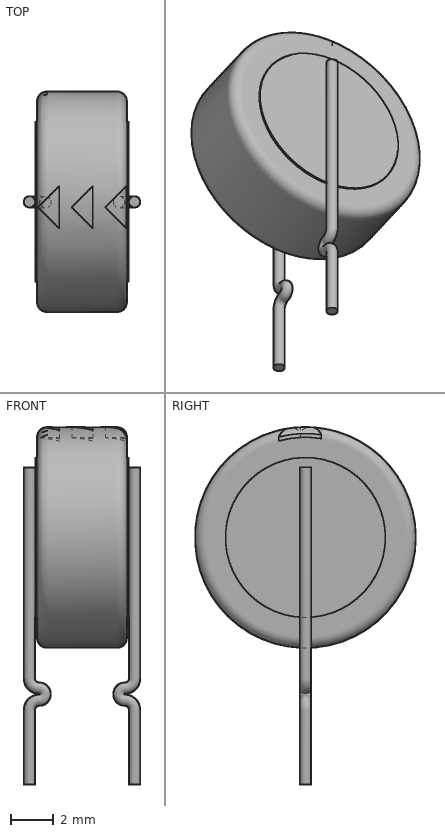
import cadquery as cq

body_diameter = 10.5
body_width = 4.28
body_edge_radius = 0.5
body_radius = body_diameter / 2

electrode_diameter = 7.6
electrode_thickness = 0.08
electrode_inner_x = body_width / 2
electrode_outer_x = electrode_inner_x + electrode_thickness

wire_diameter = 0.55
wire_radius = wire_diameter / 2
overall_height = 17.0
lead_x = electrode_outer_x + wire_radius
lead_top_z = 3.33
lead_bottom_z = body_radius - overall_height
kink_top_z = -6.7
kink_outer_radius = 0.46
kink_return_radius = 0.29

mark_count = 3
mark_length = 1.0
mark_width = 2.0
mark_pitch = 1.6
mark_middle_base_x = 0.51
mark_center_y = -0.25
mark_floor_radius = body_radius - body_edge_radius


def x_cylinder(diameter, start_x, length):
    """Cylinder on the disc axis, growing from start_x toward +X."""
    return cq.Workplane("YZ").workplane(offset=start_x).circle(diameter / 2).extrude(length)


def make_blank():
    """Plain disc with rounded rims."""
    blank = x_cylinder(body_diameter, -body_width / 2, body_width)
    return blank.edges("%CIRCLE").fillet(body_edge_radius)


def make_mark(blank, base_x):
    """Triangular inlay flush with the rim, pointing toward -X."""
    half_width = mark_width / 2
    prism = (
        cq.Workplane("XY")
        .moveTo(base_x - mark_length, mark_center_y)
        .lineTo(base_x, mark_center_y + half_width)
        .lineTo(base_x, mark_center_y - half_width)
        .close()
        .extrude(body_diameter)
    )
    floor = x_cylinder(2 * mark_floor_radius, -body_width / 2, body_width)
    return prism.intersect(blank).cut(floor)


def make_electrode(side):
    """Thin round plate on one face; side is -1 or +1 along X."""
    return x_cylinder(electrode_diameter, side * electrode_inner_x, side * electrode_thickness)


def make_lead(side):
    """Round wire with a kink toward the centre; side is -1 or +1 along X."""
    kink_x = lead_x - kink_outer_radius
    upper_z = kink_top_z - kink_outer_radius
    lower_z = upper_z - 2 * kink_return_radius
    kink_bottom_z = lower_z - kink_outer_radius
    path = (
        cq.Workplane("XZ")
        .moveTo(side * lead_x, lead_top_z)
        .lineTo(side * lead_x, kink_top_z)
        .tangentArcPoint((side * kink_x, upper_z), relative=False)
        .tangentArcPoint((side * kink_x, lower_z), relative=False)
        .tangentArcPoint((side * lead_x, kink_bottom_z), relative=False)
        .lineTo(side * lead_x, lead_bottom_z)
    )
    section = cq.Workplane("XY", origin=(side * lead_x, 0, lead_top_z)).circle(wire_radius)
    return section.sweep(path)


disc_blank = make_blank()

marks = []
for index in range(mark_count):
    steps_from_middle = index - (mark_count - 1) / 2
    marks.append(make_mark(disc_blank, mark_middle_base_x + steps_from_middle * mark_pitch))

disc = disc_blank
for mark in marks:
    disc = disc.cut(mark)

sides = (-1, 1)
electrodes = [make_electrode(side) for side in sides]
leads = [make_lead(side) for side in sides]

result = cq.Compound.makeCompound([
    disc.solids().val(),
    *[mark.solids().val() for mark in marks],
    *[electrode.val() for electrode in electrodes],
    *[lead.val() for lead in leads],
])